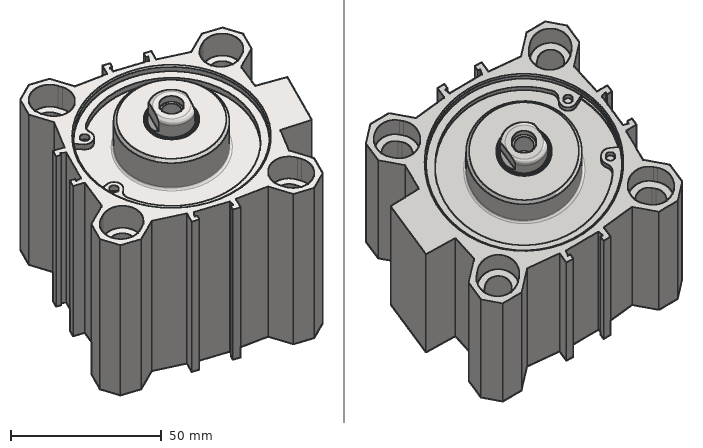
import cadquery as cq
import math

BARREL_WIDTH = 80.0
BARREL_HEIGHT = 71.95
HALF_WIDTH = BARREL_WIDTH / 2
CORNER_CHAMFER = 5.2
POST_END = 27.3
VALLEY = 20.9
VALLEY_FACE = HALF_WIDTH - (POST_END - VALLEY)
WALL_CENTRE_FACE = 34.8

RAIL_OUTER = 8.8
RAIL_TIP = 39.0
LIP_INNER = 6.0
LIP_THICKNESS = 1.9
STEM_AT_LIP = 7.0
STEM_AT_FLOOR = 6.4
SLOT_FLOOR = 35.15

OVERALL_DEPTH = 86.0
BLOCK_OUTER_Y = OVERALL_DEPTH - HALF_WIDTH
BLOCK_TIP_HALF = 10.7
BLOCK_ROOT_HALF = 11.05

BOLT_OFFSET = 30.45
SLOT_STRETCH = 1.5
BOLT_DIAMETER = 9.0
BOLT_HEAD_DIAMETER = 14.0
BOLT_HEAD_DEPTH = 10.5

BORE_DIAMETER = 65.1
BORE_CHAMFER = 0.5
RING_DEPTH = 2.6
RING_THICKNESS = 2.5
RING_OUTER_DIAMETER = 68.2
RING_INNER_DIAMETER = 59.2
EAR_X = 12.8
EAR_Y = -25.9
EAR_RADIUS = 3.1
EAR_HOLE_DIAMETER = 3.2
EAR_BLEND = 3.2

COVER_DIAMETER = 64.7
COVER_THICKNESS = 17.4
COVER_TOP = BARREL_HEIGHT - RING_DEPTH - RING_THICKNESS
SEAT_Z = COVER_TOP - COVER_THICKNESS
BOSS_DIAMETER = 38.5
BOSS_TOP = 80.1
BOSS_CHAMFER = 1.05
BOSS_BASE_FILLET = 0.9
ROD_HOLE_DIAMETER = 18.0
ROD_HOLE_CHAMFER = 0.3

ROD_TOP = 87.0
ROD_DIAMETER = 16.0
ROD_SHOULDER_DIAMETER = 17.7
ROD_SHOULDER_DROP = 1.05
ROD_SHOULDER_BEVEL = 0.3
ROD_NECK_DROP = 0.35
ROD_NECK_DIAMETER = 16.5
ROD_TOP_FILLET = 1.65
FLAT_HALF = 6.5
FLAT_FOOT_HEIGHT = 1.3
FLAT_FOOT_Z = BOSS_TOP + FLAT_FOOT_HEIGHT
TIP_HOLE_DIAMETER = 8.3
TIP_HOLE_DEPTH = 2.8
PILOT_DIAMETER = 6.6
PILOT_DEPTH = 13.05
FLOOR_CONE_ANGLE = 170.0


def cylinder(diameter, bottom, top):
    return cq.Workplane("XY").workplane(offset=bottom).circle(diameter / 2).extrude(top - bottom)


def revolve_profile(points):
    """Solid of revolution about Z from (radius, z) points."""
    return cq.Workplane("XZ").polyline(points).close().revolve(360, (0, 0, 0), (0, 1, 0))


def barrel_prism(points):
    return cq.Workplane("XY").polyline(points).close().extrude(BARREL_HEIGHT)


def barrel_core():
    """Four corner posts joined by the side walls, without rails or block."""
    chamfer_start = HALF_WIDTH - CORNER_CHAMFER
    side = [
        (-chamfer_start, -HALF_WIDTH),
        (-POST_END, -HALF_WIDTH),
        (-VALLEY, -VALLEY_FACE),
        (-RAIL_OUTER, -WALL_CENTRE_FACE),
        (RAIL_OUTER, -WALL_CENTRE_FACE),
        (VALLEY, -VALLEY_FACE),
        (POST_END, -HALF_WIDTH),
        (chamfer_start, -HALF_WIDTH),
    ]
    outline = []
    for _ in range(4):
        outline += side
        side = [(-y, x) for x, y in side]
    return barrel_prism(outline)


def rail_pair():
    """Hooked rails on the -Y side, with the raised slot floor between them."""
    lip_back = RAIL_TIP - LIP_THICKNESS
    half = [
        (RAIL_OUTER, -VALLEY_FACE),
        (RAIL_OUTER, -RAIL_TIP),
        (LIP_INNER, -RAIL_TIP),
        (LIP_INNER, -lip_back),
        (STEM_AT_LIP, -lip_back),
        (STEM_AT_FLOOR, -SLOT_FLOOR),
    ]
    mirrored = [(-x, y) for x, y in reversed(half)]
    return barrel_prism(half + mirrored)


def port_block():
    return barrel_prism([
        (-BLOCK_ROOT_HALF, VALLEY_FACE),
        (BLOCK_ROOT_HALF, VALLEY_FACE),
        (BLOCK_TIP_HALF, BLOCK_OUTER_Y),
        (-BLOCK_TIP_HALF, BLOCK_OUTER_Y),
    ])


def bolt_hole(x, y):
    """Counterbored through slot whose long direction points at the axis."""
    angle = math.degrees(math.atan2(y, x))
    through = (
        cq.Workplane("XY").center(x, y)
        .slot2D(BOLT_DIAMETER + SLOT_STRETCH, BOLT_DIAMETER, angle).extrude(BARREL_HEIGHT)
    )
    head = (
        cq.Workplane("XY").workplane(offset=BARREL_HEIGHT - BOLT_HEAD_DEPTH).center(x, y)
        .slot2D(BOLT_HEAD_DIAMETER + SLOT_STRETCH, BOLT_HEAD_DIAMETER, angle).extrude(BOLT_HEAD_DEPTH)
    )
    return through.union(head)


def bore():
    """Cover seat with a chamfered mouth and the snap ring groove."""
    radius = BORE_DIAMETER / 2
    groove_radius = RING_OUTER_DIAMETER / 2
    groove_top = BARREL_HEIGHT - RING_DEPTH
    return revolve_profile([
        (0, SEAT_Z),
        (radius, SEAT_Z),
        (radius, COVER_TOP),
        (groove_radius, COVER_TOP),
        (groove_radius, groove_top),
        (radius, groove_top),
        (radius, BARREL_HEIGHT - BORE_CHAMFER),
        (radius + BORE_CHAMFER, BARREL_HEIGHT),
        (0, BARREL_HEIGHT),
    ])


def make_barrel():
    body = barrel_core().union(port_block())
    for turn in (-90, 0, 90):
        body = body.union(rail_pair().rotate((0, 0, 0), (0, 0, 1), turn))
    for x in (-BOLT_OFFSET, BOLT_OFFSET):
        for y in (-BOLT_OFFSET, BOLT_OFFSET):
            body = body.cut(bolt_hole(x, y))
    return body.cut(bore())


def make_snap_ring():
    """Open ring with a drilled ear at each end; the end faces run parallel to the line from axis to ear."""
    bottom = COVER_TOP
    top = COVER_TOP + RING_THICKNESS
    outside = cylinder(RING_OUTER_DIAMETER, bottom, top)
    plane = cq.Workplane("XY").workplane(offset=bottom)
    reach = RING_OUTER_DIAMETER
    gap_half_width = reach * EAR_X / -EAR_Y
    gap = plane.polyline([
        (0, 0),
        (gap_half_width, -reach),
        (-gap_half_width, -reach),
    ]).close().extrude(RING_THICKNESS)
    ring = outside.cut(cylinder(RING_INNER_DIAMETER, bottom, top)).cut(gap)

    outward = math.degrees(math.atan2(EAR_Y, EAR_X))
    stem_length = RING_OUTER_DIAMETER / 2
    for side in ("right", "left"):
        ear = plane.circle(EAR_RADIUS).extrude(RING_THICKNESS)
        stem = plane.center(stem_length / 2, 0).rect(stem_length, 2 * EAR_RADIUS).extrude(RING_THICKNESS)
        ear = ear.union(stem).rotate((0, 0, 0), (0, 0, 1), outward).translate((EAR_X, EAR_Y, 0))
        if side == "left":
            ear = ear.mirror("YZ")
        ring = ring.union(ear.intersect(outside))

    inner_corners = cq.selectors.BoxSelector(
        (-RING_INNER_DIAMETER / 2, EAR_Y, bottom), (RING_INNER_DIAMETER / 2, EAR_Y + EAR_RADIUS, top)
    )
    ring = ring.edges("|Z").edges(inner_corners).fillet(EAR_BLEND)
    for x in (-EAR_X, EAR_X):
        ring = ring.cut(cylinder(EAR_HOLE_DIAMETER, bottom, top).translate((x, EAR_Y, 0)))
    return ring


def make_cover():
    """Disc seated in the bore, with a chamfered boss and the rod hole."""
    disc_radius = COVER_DIAMETER / 2
    boss_radius = BOSS_DIAMETER / 2
    hole_radius = ROD_HOLE_DIAMETER / 2
    body = revolve_profile([
        (hole_radius, SEAT_Z),
        (disc_radius, SEAT_Z),
        (disc_radius, COVER_TOP),
        (boss_radius, COVER_TOP),
        (boss_radius, BOSS_TOP - BOSS_CHAMFER),
        (boss_radius - BOSS_CHAMFER, BOSS_TOP),
        (hole_radius + ROD_HOLE_CHAMFER, BOSS_TOP),
        (hole_radius, BOSS_TOP - ROD_HOLE_CHAMFER),
    ])
    reach = (boss_radius + disc_radius) / 2
    boss_base = cq.selectors.BoxSelector(
        (-reach, -reach, COVER_TOP - BOSS_BASE_FILLET),
        (reach, reach, COVER_TOP + BOSS_BASE_FILLET),
        boundingbox=True,
    )
    return body.edges("%CIRCLE").edges(boss_base).fillet(BOSS_BASE_FILLET)


def flat_cutter():
    """Material beyond the +Y wrench flat, ending in a 45 degree run-out."""
    run_out = ROD_DIAMETER - FLAT_HALF
    return (
        cq.Workplane("YZ")
        .polyline([
            (FLAT_HALF, ROD_TOP),
            (FLAT_HALF, FLAT_FOOT_Z),
            (ROD_DIAMETER, FLAT_FOOT_Z - run_out),
            (ROD_DIAMETER, ROD_TOP),
        ]).close().extrude(ROD_DIAMETER / 2, both=True)
    )


def tip_hole():
    """Stepped hole in the rod tip with a shallow conical floor."""
    pilot_radius = PILOT_DIAMETER / 2
    cone_height = pilot_radius / math.tan(math.radians(FLOOR_CONE_ANGLE / 2))
    pilot_floor = ROD_TOP - PILOT_DEPTH
    return revolve_profile([
        (0, ROD_TOP),
        (TIP_HOLE_DIAMETER / 2, ROD_TOP),
        (TIP_HOLE_DIAMETER / 2, ROD_TOP - TIP_HOLE_DEPTH),
        (pilot_radius, ROD_TOP - TIP_HOLE_DEPTH),
        (pilot_radius, pilot_floor),
        (0, pilot_floor - cone_height),
    ])


def make_rod():
    """Stepped rod with a rounded tip, two wrench flats and a tip hole."""
    tip_radius = ROD_DIAMETER / 2
    neck_radius = ROD_NECK_DIAMETER / 2
    shoulder_radius = ROD_SHOULDER_DIAMETER / 2
    neck_bevel = neck_radius - tip_radius
    shoulder_top = BOSS_TOP - ROD_SHOULDER_DROP
    neck_top = BOSS_TOP - ROD_NECK_DROP
    body = revolve_profile([
        (0, SEAT_Z),
        (shoulder_radius, SEAT_Z),
        (shoulder_radius, shoulder_top - ROD_SHOULDER_BEVEL),
        (shoulder_radius - ROD_SHOULDER_BEVEL, shoulder_top),
        (neck_radius, shoulder_top),
        (neck_radius, neck_top - neck_bevel),
        (tip_radius, neck_top),
        (tip_radius, ROD_TOP),
        (0, ROD_TOP),
    ])
    body = body.faces(">Z").edges().fillet(ROD_TOP_FILLET)
    plus_y_flat = flat_cutter()
    return body.cut(plus_y_flat).cut(plus_y_flat.mirror("XZ")).cut(tip_hole())


barrel = make_barrel()
snap_ring = make_snap_ring()
cover = make_cover()
rod = make_rod()

result = cq.Compound.makeCompound([barrel.val(), snap_ring.val(), cover.val(), rod.val()])